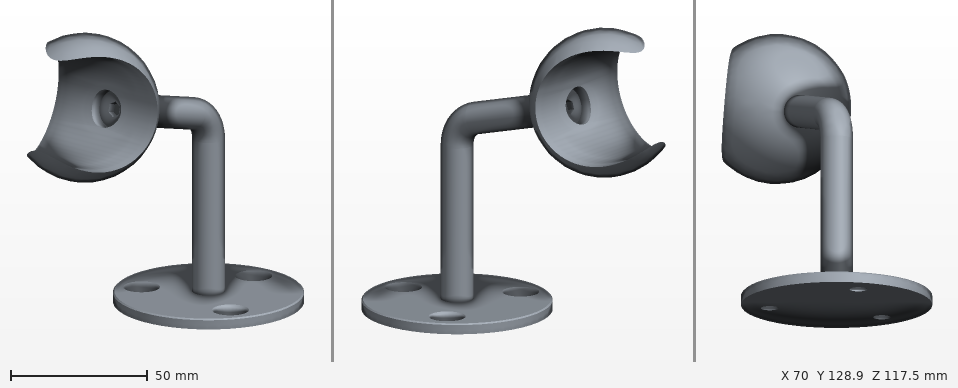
import cadquery as cq
import math

PLATE_DIAMETER = 70.0
PLATE_THICKNESS = 4.0
PLATE_CHAMFER = 0.5
SCREW_HOLE_COUNT = 3
SCREW_HOLE_DIAMETER = 6.5
COUNTERSINK_DIAMETER = 13.5
COUNTERSINK_ANGLE = 90.0
SCREW_CIRCLE_RADIUS = 25.0
FIRST_HOLE_ANGLE = 90.0

ROD_DIAMETER = 12.0
BEND_START_Z = 62.4
BEND_RADIUS = 12.0
ARM_SLOPE = 15.0

BALL_DIAMETER = 55.0
BALL_CENTRE_Z = 90.0
RAIL_DIAMETER = 42.7
RAIL_OFFSET = 8.7
RECESS_DIAMETER = 14.0
RECESS_FLOOR_OFFSET = 17.0
HEX_ACROSS_FLATS = 5.0
HEX_DEPTH = 3.0
HEX_CORNERS = 6

slope = math.radians(ARM_SLOPE)
arm_direction = cq.Vector(0, -math.cos(slope), math.sin(slope))
bend_angle = math.pi / 2 - slope


def bend_point(angle):
    """Point on the rod centreline after turning by the given angle."""
    return cq.Vector(
        0,
        -BEND_RADIUS * (1 - math.cos(angle)),
        BEND_START_Z + BEND_RADIUS * math.sin(angle),
    )


bend_middle = bend_point(bend_angle / 2)
bend_end = bend_point(bend_angle)

arm_to_ball_centre = (BALL_CENTRE_Z - bend_end.z) / arm_direction.z
ball_centre = bend_end + arm_direction * arm_to_ball_centre

ball_radius = BALL_DIAMETER / 2
seat_offset = math.sqrt(ball_radius**2 - (ROD_DIAMETER / 2) ** 2)
rod_end = ball_centre - arm_direction * seat_offset


def arm_plane(offset):
    """Plane square to the arm, at an offset from the ball centre along it, with its x axis along X."""
    return cq.Plane(ball_centre + arm_direction * offset, xDir=(1, 0, 0), normal=arm_direction)


def make_plate():
    plate = cq.Workplane("XY").circle(PLATE_DIAMETER / 2).extrude(PLATE_THICKNESS)
    plate = plate.faces(">Z").edges().chamfer(PLATE_CHAMFER)
    return (
        plate.faces(">Z")
        .workplane(origin=(0, 0, 0))
        .polarArray(SCREW_CIRCLE_RADIUS, FIRST_HOLE_ANGLE, 360, SCREW_HOLE_COUNT)
        .cskHole(SCREW_HOLE_DIAMETER, COUNTERSINK_DIAMETER, COUNTERSINK_ANGLE)
    )


def make_rod():
    bend_start = cq.Vector(0, 0, BEND_START_Z)
    centreline = cq.Wire.assembleEdges(
        [
            cq.Edge.makeLine(cq.Vector(0, 0, PLATE_THICKNESS), bend_start),
            cq.Edge.makeThreePointArc(bend_start, bend_middle, bend_end),
            cq.Edge.makeLine(bend_end, rod_end),
        ]
    )
    return (
        cq.Workplane("XY", origin=(0, 0, PLATE_THICKNESS))
        .circle(ROD_DIAMETER / 2)
        .sweep(cq.Workplane(centreline))
    )


def make_bracket():
    return make_plate().union(make_rod())


def make_ball():
    """Ball whose poles lie on the arm axis, cut flat where the rod meets it."""
    ball = cq.Workplane(arm_plane(0)).sphere(ball_radius)
    beyond_seat = cq.Workplane(arm_plane(-seat_offset)).circle(ball_radius).extrude(-ball_radius)
    return ball.cut(beyond_seat)


def make_rail():
    rail_centre = ball_centre + arm_direction * RAIL_OFFSET
    return (
        cq.Workplane("YZ", origin=rail_centre.toTuple())
        .circle(RAIL_DIAMETER / 2)
        .extrude(ball_radius, both=True)
    )


def make_saddle():
    recess_floor = arm_plane(-RECESS_FLOOR_OFFSET)
    recess = cq.Workplane(recess_floor).circle(RECESS_DIAMETER / 2).extrude(RECESS_FLOOR_OFFSET)
    hex_socket = (
        cq.Workplane(recess_floor)
        .polygon(HEX_CORNERS, HEX_ACROSS_FLATS, circumscribed=True)
        .extrude(-HEX_DEPTH)
    )
    return make_ball().cut(make_rail()).cut(recess).cut(hex_socket)


bracket = make_bracket()
saddle = make_saddle()

result = cq.Compound.makeCompound([bracket.val(), saddle.val()])